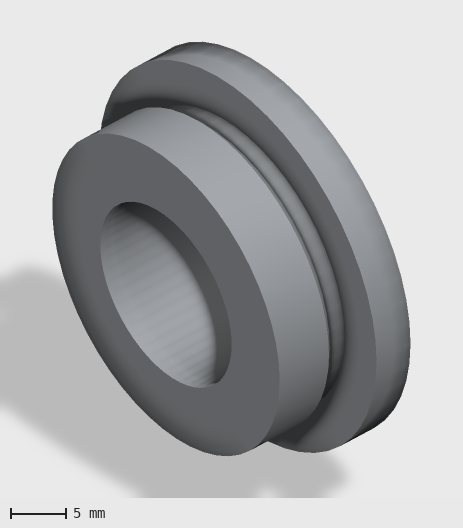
import cadquery as cq

flange_diameter = 39.0
body_diameter = 32.0
groove_diameter = 30.0
bore_diameter = 18.5

total_length = 12.5
flange_thickness = 4.0
groove_width = 1.68

flange_radius = flange_diameter / 2
body_radius = body_diameter / 2
groove_radius = groove_diameter / 2
bore_radius = bore_diameter / 2

flange_front = total_length - flange_thickness
groove_front = flange_front - groove_width
body_back = groove_front - (body_radius - groove_radius)

half_section = (
    cq.Workplane("XY")
    .moveTo(bore_radius, 0)
    .lineTo(body_radius, 0)
    .lineTo(body_radius, body_back)
    .lineTo(groove_radius, groove_front)
    .lineTo(groove_radius, flange_front)
    .lineTo(flange_radius, flange_front)
    .lineTo(flange_radius, total_length)
    .lineTo(bore_radius, total_length)
    .close()
)

result = half_section.revolve(360, (0, 0, 0), (0, 1, 0))